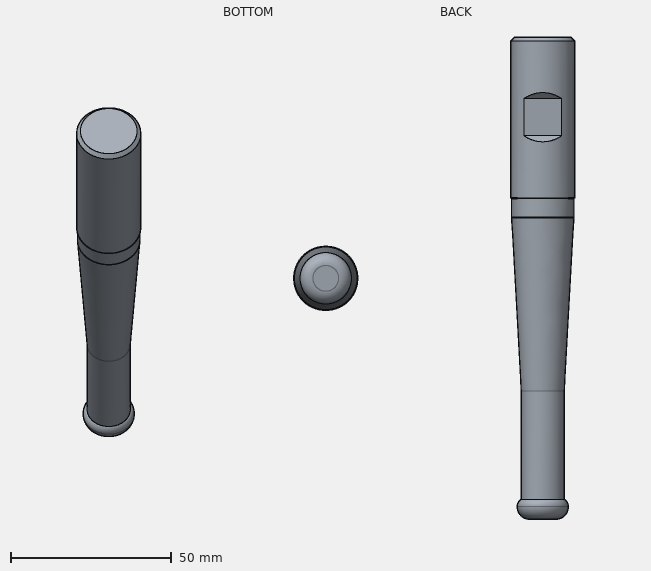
import cadquery as cq
import math

total_length = 150.0
barrel_length = 50.0
taper_bottom_z = 40.0
barrel_bottom_z = total_length - barrel_length

barrel_radius = 10.0
taper_top_radius = 9.75
grip_radius = 6.75

ring_radius = taper_top_radius
ring_length = 5.8
ring_gap = 0.2
core_radius = 8.0
ring_bottom_z = barrel_bottom_z - ring_gap - ring_length
taper_top_z = ring_bottom_z - ring_gap

knob_radius = 8.0
butt_round = 4.0
shoulder_round = 2.7
knob_widest_z = butt_round

barrel_chamfer = 1.2

notch_floor_y = 8.1
notch_floor_length = 11.5
notch_center_z = 125.1


def make_bat_blank():
    """Knob, grip, taper, core and barrel, turned about Z from one profile."""
    butt_flat_radius = knob_radius - butt_round
    butt_diagonal = butt_round * math.sqrt(0.5)
    butt_mid = (butt_flat_radius + butt_diagonal, knob_widest_z - butt_diagonal)

    shoulder_center = knob_radius - shoulder_round
    shoulder_angle = math.acos((grip_radius - shoulder_center) / shoulder_round)
    shoulder_mid = (
        shoulder_center + shoulder_round * math.cos(shoulder_angle / 2),
        knob_widest_z + shoulder_round * math.sin(shoulder_angle / 2),
    )
    knob_top_z = knob_widest_z + shoulder_round * math.sin(shoulder_angle)

    profile = (
        cq.Workplane("XZ")
        .lineTo(butt_flat_radius, 0)
        .threePointArc(butt_mid, (knob_radius, knob_widest_z))
        .threePointArc(shoulder_mid, (grip_radius, knob_top_z))
        .lineTo(grip_radius, taper_bottom_z)
        .lineTo(taper_top_radius, taper_top_z)
        .lineTo(core_radius, taper_top_z)
        .lineTo(core_radius, barrel_bottom_z)
        .lineTo(barrel_radius, barrel_bottom_z)
        .lineTo(barrel_radius, total_length - barrel_chamfer)
        .lineTo(barrel_radius - barrel_chamfer, total_length)
        .lineTo(0, total_length)
        .close()
    )
    blank = profile.revolve(360, (0, 0, 0), (0, 1, 0))
    return blank.rotate((0, 0, 0), (0, 0, 1), -90)


def make_notch_cutter():
    """Trapezoid in the YZ plane, extruded across the whole barrel."""
    half_floor = notch_floor_length / 2
    half_mouth = half_floor + barrel_radius - notch_floor_y
    return (
        cq.Workplane("YZ")
        .moveTo(notch_floor_y, notch_center_z - half_floor)
        .lineTo(barrel_radius, notch_center_z - half_mouth)
        .lineTo(barrel_radius, notch_center_z + half_mouth)
        .lineTo(notch_floor_y, notch_center_z + half_floor)
        .close()
        .extrude(barrel_radius, both=True)
    )


def make_bat():
    """Bat in one piece, with the notch cut into its barrel."""
    return make_bat_blank().cut(make_notch_cutter())


def make_collar_ring():
    """Plain ring around the core between the taper and the barrel."""
    return (
        cq.Workplane("XY", origin=(0, 0, ring_bottom_z))
        .circle(ring_radius)
        .circle(core_radius)
        .extrude(ring_length)
        .rotate((0, 0, 0), (0, 0, 1), -90)
    )


bat = make_bat()
collar_ring = make_collar_ring()

result = cq.Compound.makeCompound([bat.val(), collar_ring.val()])